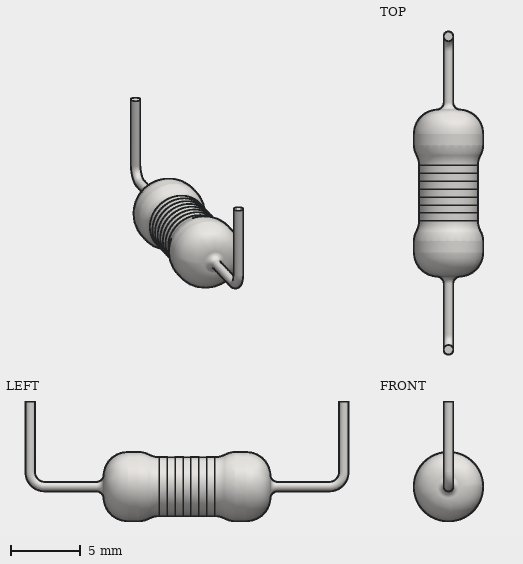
import cadquery as cq
import math

body_length = 12.0
cap_radius = 5.0 / 2
barrel_radius = 4.25 / 2
stripe_radius = 4.27 / 2
barrel_length = 4.0
segment_count = 7

dome_radius = 1.75
concave_radius = 1.55
convex_radius = 1.45

lead_radius = 0.7 / 2
lead_fillet_radius = 0.5
lead_spacing = 22.5
lead_top = 6.1
bend_radius = 1.05

quarter_turn = math.pi / 2
half_barrel = barrel_length / 2
segment_length = barrel_length / segment_count


def point_on_arc(center, radius, angle):
    """Point at an angle in radians from the +Y axis; coordinates are (radius, y)."""
    return (center[0] + radius * math.sin(angle), center[1] + radius * math.cos(angle))


def make_cap():
    """+Y end cap of the body, from the end of the barrel to the end of the lead fillet."""
    flare_step = cap_radius - barrel_radius
    flare_radii = concave_radius + convex_radius
    flare_angle = math.acos(1 - flare_step / flare_radii)
    flare_end_y = half_barrel + flare_radii * math.sin(flare_angle)
    concave_center = (barrel_radius + concave_radius, half_barrel)
    convex_center = (cap_radius - convex_radius, flare_end_y)
    concave_middle = point_on_arc(concave_center, concave_radius, -quarter_turn + flare_angle / 2)
    convex_middle = point_on_arc(convex_center, convex_radius, quarter_turn + flare_angle / 2)
    flare_join = point_on_arc(concave_center, concave_radius, -quarter_turn + flare_angle)

    dome_center = (cap_radius - dome_radius, body_length / 2 - dome_radius)
    fillet_center_r = lead_radius + lead_fillet_radius
    center_distance = dome_radius + lead_fillet_radius
    contact_angle = math.asin((fillet_center_r - dome_center[0]) / center_distance)
    fillet_center = (fillet_center_r, dome_center[1] + center_distance * math.cos(contact_angle))
    dome_contact = point_on_arc(dome_center, dome_radius, contact_angle)
    dome_middle = point_on_arc(dome_center, dome_radius, (quarter_turn + contact_angle) / 2)
    fillet_start_angle = math.pi + contact_angle
    fillet_end_angle = 3 * quarter_turn
    fillet_middle = point_on_arc(
        fillet_center, lead_fillet_radius, (fillet_start_angle + fillet_end_angle) / 2
    )

    profile = (
        cq.Workplane("XY")
        .moveTo(0, half_barrel)
        .lineTo(barrel_radius, half_barrel)
        .threePointArc(concave_middle, flare_join)
        .threePointArc(convex_middle, (cap_radius, flare_end_y))
        .lineTo(cap_radius, dome_center[1])
        .threePointArc(dome_middle, dome_contact)
        .threePointArc(fillet_middle, (lead_radius, fillet_center[1]))
        .lineTo(0, fillet_center[1])
        .close()
    )
    return profile.revolve(360, (0, 0, 0), (0, 1, 0))


def make_barrel_segment(start_y, radius):
    """Straight length of the barrel, one segment long."""
    return cq.Workplane("XZ", origin=(0, start_y, 0)).circle(radius).extrude(-segment_length)


def make_lead():
    """+Y lead: out along the axis, through a quarter bend, then up to its tip."""
    lead_y = lead_spacing / 2
    bend_start_y = lead_y - bend_radius
    bend_middle = (
        bend_start_y + bend_radius * math.sin(quarter_turn / 2),
        bend_radius * (1 - math.cos(quarter_turn / 2)),
    )
    path = (
        cq.Workplane("YZ")
        .moveTo(body_length / 2, 0)
        .lineTo(bend_start_y, 0)
        .threePointArc(bend_middle, (lead_y, bend_radius))
        .lineTo(lead_y, lead_top)
    )
    section = cq.Workplane("XZ", origin=(0, body_length / 2, 0)).circle(lead_radius)
    return section.sweep(path)


resistor_end = make_cap().union(make_lead())
result = resistor_end
for segment in range(segment_count):
    segment_radius = stripe_radius if segment % 2 == 0 else barrel_radius
    segment_start_y = half_barrel - (segment + 1) * segment_length
    result = result.union(make_barrel_segment(segment_start_y, segment_radius))
result = result.union(resistor_end.mirror("XZ"))